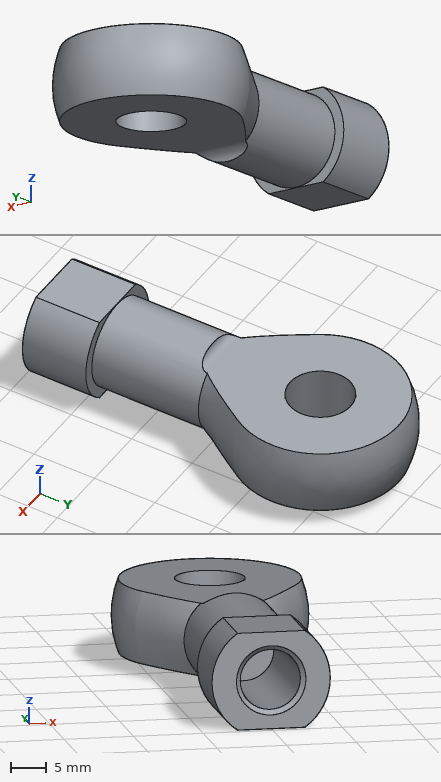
import cadquery as cq
import math

total_length = 58.0
head_diameter = 27.9
head_thickness = 10.5
eye_diameter = 10.0

neck_diameter = 13.8
taper_angle = math.radians(30)
flat_runout_radius = 1.75
collar_diameter = 17.0
collar_length = 10.5
across_flats = 14.0

bore_diameter = 8.65
bore_mouth_diameter = 10.0
bore_depth = 19.7

head_radius = head_diameter / 2
neck_radius = neck_diameter / 2
half_thickness = head_thickness / 2
shank_end_y = head_radius - total_length
collar_start_y = shank_end_y + collar_length

tangent_x = head_radius * math.cos(taper_angle)
tangent_y = -head_radius * math.sin(taper_angle)
neck_start_y = tangent_y - (tangent_x - neck_radius) / math.tan(taper_angle)


def turned_body():
    """Spherical head, tangent cone and neck, revolved about Y."""
    return (
        cq.Workplane("XY")
        .moveTo(0, head_radius)
        .threePointArc((head_radius, 0), (tangent_x, tangent_y))
        .lineTo(neck_radius, neck_start_y)
        .lineTo(neck_radius, collar_start_y)
        .lineTo(0, collar_start_y)
        .close()
        .revolve(360, (0, 0, 0), (0, 1, 0))
    )


def head_flat_cutter():
    """Material above the upper head flat, with a rounded runout into the neck."""
    runout_end_y = neck_start_y - flat_runout_radius
    runout_top_z = half_thickness + flat_runout_radius
    diagonal = flat_runout_radius * math.sqrt(0.5)
    runout_middle = (neck_start_y - diagonal, runout_top_z - diagonal)
    return (
        cq.Workplane("YZ")
        .moveTo(head_radius, half_thickness)
        .lineTo(neck_start_y, half_thickness)
        .threePointArc(runout_middle, (runout_end_y, runout_top_z))
        .lineTo(runout_end_y, head_radius)
        .lineTo(head_radius, head_radius)
        .close()
        .extrude(head_radius, both=True)
    )


def collar():
    """Round collar with two parallel wrench flats."""
    disc = (
        cq.Workplane("XZ", origin=(0, collar_start_y, 0))
        .circle(collar_diameter / 2)
        .extrude(collar_length)
    )
    slab = cq.Workplane("XY").box(collar_diameter, 2 * total_length, across_flats)
    return disc.intersect(slab)


def bore_cutter():
    """Blind bore with a 45 degree chamfered mouth."""
    bore_radius = bore_diameter / 2
    mouth_radius = bore_mouth_diameter / 2
    chamfer = mouth_radius - bore_radius
    return (
        cq.Workplane("XY")
        .moveTo(0, shank_end_y)
        .lineTo(mouth_radius, shank_end_y)
        .lineTo(bore_radius, shank_end_y + chamfer)
        .lineTo(bore_radius, shank_end_y + bore_depth)
        .lineTo(0, shank_end_y + bore_depth)
        .close()
        .revolve(360, (0, 0, 0), (0, 1, 0))
    )


upper_cutter = head_flat_cutter()
lower_cutter = upper_cutter.mirror("XY")
eye_cutter = cq.Workplane("XY").circle(eye_diameter / 2).extrude(head_thickness, both=True)

result = (
    turned_body()
    .cut(upper_cutter)
    .cut(lower_cutter)
    .union(collar())
    .cut(eye_cutter)
    .cut(bore_cutter())
)